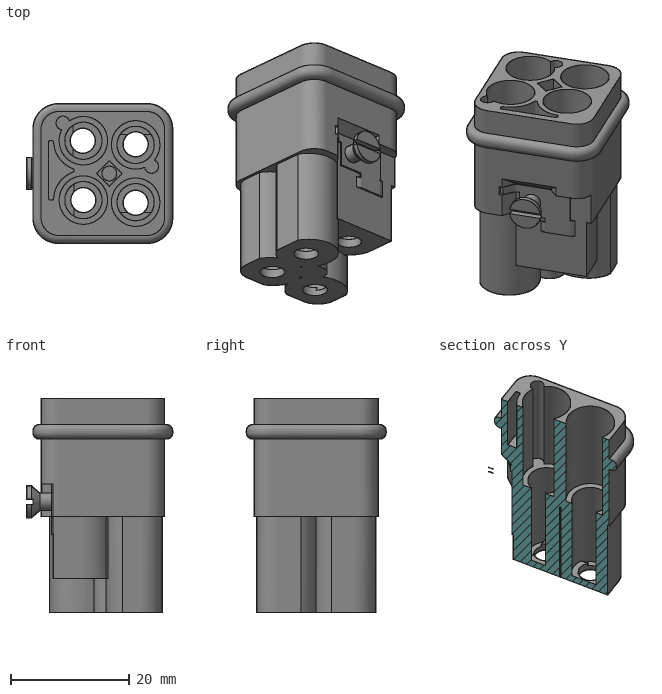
import cadquery as cq

BODY_LENGTH = 20.9
BODY_WIDTH = 21.0
BODY_CORNER = 3.0
BODY_HEIGHT = 20.0
SKIRT_DEPTH = 16.25

RING_SIDE = 23.7
RING_HEIGHT = 2.5
RING_MID_Z = 14.35
RING_EDGE_ROUND = 1.12

PE_CENTER = (-3.3, -4.5)
CONTACT_3_CENTER = (-3.3, 5.55)
CONTACT_2_CENTER = (5.55, 4.85)
CONTACT_1_CENTER = (5.55, -4.85)
BLOCK_BOTTOM_Z = -10.5

POSTS = [
    (CONTACT_3_CENTER, (-1, 0)),
    (CONTACT_2_CENTER, (0, 1)),
    (CONTACT_1_CENTER, (0, -1)),
]
ENTRY_DIA = 8.2
BORE_DIA = 6.3
EXIT_DIA = 4.2
EXIT_SHIFT = 0.1
ENTRY_FLOOR_Z = 2.0
EXIT_FLOOR = 1.5
FLOOR_STEP = 0.5
FLOOR_STEP_OFFSET = 1.75
PE_FLOOR_STEP_OFFSET = 1.6

POST_RADIUS = 5.05
POST_SHIFT = 0.7
POST_ENVELOPE = 20.15
POST_ENVELOPE_CORNER = 3.5
CORE_CENTER = (1.1, 0.0)
CORE_RADIUS = 2.6

KEYWAY_DIA = 2.33
KEYWAY_CENTERS = [(-6.75, 8.55), (8.25, 1.2)]

DIAMOND_SIDE = 3.05
DIAMOND_DEPTH = 6.0
CORE_HOLE_DIA = 2.5
CORE_HOLE_DEPTH = 12.0

POCKET_LEFT_X = -9.18
POCKET_TIP_X = -4.9
POCKET_DEPTH = 10.0
POCKET_CORNER = 0.25

RECESS_X = -8.42
RECESS_TOP_Z = 5.5
RECESS_INNER_Y = 3.0
WINDOW_OUTER_Y = 4.8
WINDOW_OUTER_TOP_Z = 7.15

BLOCK_FRONT_Y = PE_CENTER[1] - POST_RADIUS
RIB_ROUND = 0.45
BLOCK_RIB_X = 0.92
BLOCK_RIB_FRONT_Y = -7.8
POST_RIB_X = -1.5
POST_RIB_FRONT_Y = 0.68

PLATE_FACE_X = -8.69
PLATE_BACK_X = -8.15
PLATE_Y = (-6.7, 2.28)
PLATE_LIP_Z = -0.25
TONGUE_INNER_Y = -2.25
TONGUE_BOTTOM_Z = -3.0
FLANK_RADIUS = 8.2
FLANK_AXIS_X = -0.8
INNER_FLANK_TOP_Z = -1.05

EAR_BOTTOM_Z = 4.0
EAR_HEIGHT = RECESS_TOP_Z - EAR_BOTTOM_Z
EAR_BEND_START_Y = 2.63
EAR_BEND_END = (-8.95, 3.2)
EAR_TIP = (-10.3, 4.65)
EAR_END = (-9.7, 5.34)

SCREW_Z = 2.5
SCREW_TIP_X = -12.9
SCREW_HEAD_DIA = 5.5
SCREW_RIM = 0.8
SCREW_HEAD_LENGTH = 2.25
SCREW_SHANK_DIA = 3.0
SCREW_SLOT_WIDTH = 0.85
SCREW_SLOT_DEPTH = 1.05


def box(x_range, y_range, z_range):
    """Axis-aligned box given by its limits."""
    size = [limits[1] - limits[0] for limits in (x_range, y_range, z_range)]
    return cq.Workplane().box(*size, centered=False).translate((x_range[0], y_range[0], z_range[0]))


def cylinder(center, diameter, bottom, top):
    """Upright cylinder between two heights."""
    return cq.Workplane(origin=(*center, bottom)).circle(diameter / 2).extrude(top - bottom)


def rounded_block(length, width, corner, bottom, top):
    """Upright block with rounded vertical edges, centred on the Z axis."""
    prism = cq.Workplane(origin=(0, 0, bottom)).rect(length, width).extrude(top - bottom)
    return prism.edges("|Z").fillet(corner)


def make_body():
    """Square housing with the sealing ring around it."""
    ring_corner = BODY_CORNER + (RING_SIDE - BODY_WIDTH) / 2
    ring_bottom = RING_MID_Z - RING_HEIGHT / 2
    ring = rounded_block(RING_SIDE, RING_SIDE, ring_corner, ring_bottom, ring_bottom + RING_HEIGHT)
    ring = ring.faces("|Z").edges().fillet(RING_EDGE_ROUND)
    return rounded_block(BODY_LENGTH, BODY_WIDTH, BODY_CORNER, 0, BODY_HEIGHT).union(ring)


def make_post(center, outward):
    """Full-length post: a circle stretched outward from the hole centre."""
    length = POST_SHIFT + 2 * POST_RADIUS
    angle = 0 if outward[0] else 90
    middle = [c + d * POST_SHIFT / 2 for c, d in zip(center, outward)]
    return (
        cq.Workplane(origin=(*middle, -SKIRT_DEPTH))
        .slot2D(length, 2 * POST_RADIUS, angle)
        .extrude(SKIRT_DEPTH)
    )


def make_rib(x_range, y_range, bottom):
    """Upright rib whose +X, -Y edge is rounded."""
    return box(x_range, y_range, (bottom, 0)).edges("|Z and >X and <Y").fillet(RIB_ROUND)


def make_skirt():
    """Three contact posts and the central core below the body."""
    skirt = cylinder(CORE_CENTER, 2 * CORE_RADIUS, -SKIRT_DEPTH, 0)
    for center, outward in POSTS:
        skirt = skirt.union(make_post(center, outward))
    rib = make_rib((CONTACT_3_CENTER[0], POST_RIB_X), (POST_RIB_FRONT_Y, CONTACT_3_CENTER[1]), -SKIRT_DEPTH)
    envelope = rounded_block(POST_ENVELOPE, POST_ENVELOPE, POST_ENVELOPE_CORNER, -SKIRT_DEPTH, 0)
    return skirt.union(rib).intersect(envelope)


def make_earthing_block():
    """Shorter block around the earthing chamber."""
    block = box((RECESS_X, PE_CENTER[0]), (BLOCK_FRONT_Y, RECESS_INNER_Y), (BLOCK_BOTTOM_Z, 0))
    barrel = cylinder(PE_CENTER, 2 * POST_RADIUS, BLOCK_BOTTOM_Z, 0)
    rib = make_rib((PE_CENTER[0], BLOCK_RIB_X), (BLOCK_RIB_FRONT_Y, PE_CENTER[1]), BLOCK_BOTTOM_Z)
    return block.union(barrel).union(rib)


def make_side_recess():
    """Recess on the -X side, open downward and toward -Y, with a sloped window."""
    outer_x = -BODY_LENGTH / 2
    depth = RECESS_X - outer_x
    recess = box((outer_x, RECESS_X), (-BODY_WIDTH / 2, RECESS_INNER_Y), (0, RECESS_TOP_Z))
    window = (
        cq.Workplane("YZ", origin=(outer_x, 0, 0))
        .center(0, WINDOW_OUTER_TOP_Z / 2)
        .rect(2 * WINDOW_OUTER_Y, WINDOW_OUTER_TOP_Z)
        .workplane(offset=depth)
        .center(0, (RECESS_TOP_Z - WINDOW_OUTER_TOP_Z) / 2)
        .rect(2 * RECESS_INNER_Y, RECESS_TOP_Z)
        .loft(ruled=True)
    )
    return recess.union(window)


def make_ear_notch():
    """Notch in the -X wall that clears the end face of the plate's ear."""
    outer_x = -BODY_LENGTH / 2
    outline = [(outer_x, EAR_TIP[1]), EAR_TIP, EAR_END, (outer_x, EAR_END[1])]
    return cq.Workplane(origin=(0, 0, EAR_BOTTOM_Z)).polyline(outline).close().extrude(EAR_HEIGHT)


def make_tongue_flanks(x_range):
    """Curved flanks of the tongue; the one toward -Y reaches up to the body."""
    middle_y = (PLATE_Y[0] + TONGUE_INNER_Y) / 2
    flanks = cylinder((FLANK_AXIS_X, middle_y), 2 * FLANK_RADIUS, TONGUE_BOTTOM_Z, 0)
    outer = box(x_range, (middle_y - FLANK_RADIUS, PLATE_Y[0]), (TONGUE_BOTTOM_Z, 0))
    inner_y = (TONGUE_INNER_Y, middle_y + FLANK_RADIUS)
    inner = box(x_range, inner_y, (TONGUE_BOTTOM_Z, INNER_FLANK_TOP_Z))
    return flanks.intersect(outer.union(inner))


def make_plate():
    """Earthing plate on the recess floor, with a tongue over the barrel and a bent ear."""
    x_range = (PLATE_FACE_X, PLATE_BACK_X)
    plate = box(x_range, PLATE_Y, (PLATE_LIP_Z, RECESS_TOP_Z))
    tongue = box(x_range, (PLATE_Y[0], TONGUE_INNER_Y), (TONGUE_BOTTOM_Z, PLATE_LIP_Z))
    tongue = tongue.union(make_tongue_flanks(x_range))
    ear = (
        cq.Workplane(origin=(0, 0, EAR_BOTTOM_Z))
        .moveTo(PLATE_BACK_X, PLATE_Y[1])
        .lineTo(PLATE_FACE_X, PLATE_Y[1])
        .lineTo(PLATE_FACE_X, EAR_BEND_START_Y)
        .tangentArcPoint(EAR_BEND_END, relative=False)
        .lineTo(*EAR_TIP)
        .lineTo(*EAR_END)
        .lineTo(PLATE_BACK_X, EAR_BEND_END[1])
        .close()
        .extrude(EAR_HEIGHT)
    )
    return plate.union(tongue).union(ear)


def make_screw():
    """Slotted countersunk screw along X."""
    rim_x = SCREW_TIP_X + SCREW_RIM
    neck_x = SCREW_TIP_X + SCREW_HEAD_LENGTH
    head_radius = SCREW_HEAD_DIA / 2
    shank_radius = SCREW_SHANK_DIA / 2
    screw = (
        cq.Workplane("XY")
        .moveTo(SCREW_TIP_X, 0)
        .lineTo(SCREW_TIP_X, head_radius)
        .lineTo(rim_x, head_radius)
        .lineTo(neck_x, shank_radius)
        .lineTo(RECESS_X, shank_radius)
        .lineTo(RECESS_X, 0)
        .close()
        .revolve(360, (0, 0, 0), (1, 0, 0))
    )
    slot = box(
        (SCREW_TIP_X, SCREW_TIP_X + SCREW_SLOT_DEPTH),
        (-head_radius, head_radius),
        (-SCREW_SLOT_WIDTH / 2, SCREW_SLOT_WIDTH / 2),
    )
    return screw.cut(slot).translate((0, 0, SCREW_Z))


def make_chamber(center, outward, bottom, exit_shift, step_offset):
    """Stepped through hole; its lower floor drops slightly on the outward side."""
    floor = bottom + EXIT_FLOOR
    hole = cylinder(center, ENTRY_DIA, ENTRY_FLOOR_Z, BODY_HEIGHT)
    hole = hole.union(cylinder(center, BORE_DIA, floor, ENTRY_FLOOR_Z))
    exit_center = [c + d * exit_shift for c, d in zip(center, outward)]
    hole = hole.union(cylinder(exit_center, EXIT_DIA, bottom, floor))
    shift = step_offset + BORE_DIA / 2
    segment_side = (
        cq.Workplane(origin=(*center, floor - FLOOR_STEP))
        .center(outward[0] * shift, outward[1] * shift)
        .rect(BORE_DIA, BORE_DIA)
        .extrude(FLOOR_STEP)
    )
    segment = cylinder(center, BORE_DIA, floor - FLOOR_STEP, floor).intersect(segment_side)
    return hole.union(segment)


def make_crescent_pocket():
    """Pocket between the two -X chambers, keeping their walls at the post radius."""
    floor = BODY_HEIGHT - POCKET_DEPTH
    pocket = box((POCKET_LEFT_X, POCKET_TIP_X), (PE_CENTER[1], CONTACT_3_CENTER[1]), (floor, BODY_HEIGHT))
    for center in (PE_CENTER, CONTACT_3_CENTER):
        pocket = pocket.cut(cylinder(center, 2 * POST_RADIUS, floor, BODY_HEIGHT))
    return pocket.edges("|Z").fillet(POCKET_CORNER)


def make_core_socket():
    """Diamond socket with a round hole below it, between the chambers."""
    floor = BODY_HEIGHT - DIAMOND_DEPTH
    diamond = (
        cq.Workplane(origin=(0, 0, floor))
        .rect(DIAMOND_SIDE, DIAMOND_SIDE)
        .extrude(DIAMOND_DEPTH)
        .rotate((0, 0, 0), (0, 0, 1), 45)
        .translate((*CORE_CENTER, 0))
    )
    return diamond.union(cylinder(CORE_CENTER, CORE_HOLE_DIA, BODY_HEIGHT - CORE_HOLE_DEPTH, floor))


part = make_body().cut(make_side_recess())
part = part.union(make_skirt()).union(make_earthing_block())
part = part.cut(make_ear_notch()).union(make_plate())
part = part.cut(make_chamber(PE_CENTER, (-1, 0), BLOCK_BOTTOM_Z, 0, PE_FLOOR_STEP_OFFSET))
for center, outward in POSTS:
    part = part.cut(make_chamber(center, outward, -SKIRT_DEPTH, EXIT_SHIFT, FLOOR_STEP_OFFSET))
for center in KEYWAY_CENTERS:
    part = part.cut(cylinder(center, KEYWAY_DIA, ENTRY_FLOOR_Z, BODY_HEIGHT))
part = part.cut(make_crescent_pocket()).cut(make_core_socket())
result = part.union(make_screw())